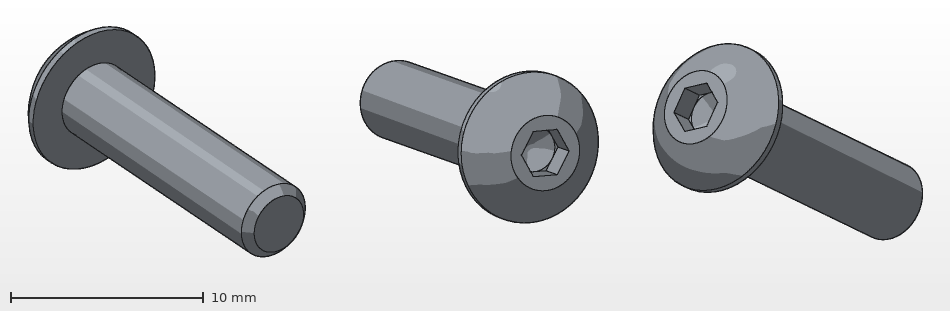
import cadquery as cq
import math

INCH = 25.4

head_diameter = 0.312 * INCH
head_height = 0.087 * INCH
head_face_diameter = head_diameter / 2
rim_thickness = 0.38

shank_diameter = 0.164 * INCH
shank_length = 0.625 * INCH
tip_chamfer = 0.475

hex_across_flats = 0.09375 * INCH
socket_depth = 0.052 * INCH
socket_cone_angle = 120.0


def dome_midpoint(face_edge, rim_edge):
    """Halfway point of the dome arc, on the sphere centred on the X axis through both edges."""
    face_x, face_radius = face_edge
    rim_x, rim_radius = rim_edge
    center_x = (rim_x**2 + rim_radius**2 - face_x**2 - face_radius**2) / (2 * (rim_x - face_x))
    sphere_radius = math.hypot(rim_x - center_x, rim_radius)
    face_angle = math.atan2(face_radius, face_x - center_x)
    rim_angle = math.atan2(rim_radius, rim_x - center_x)
    middle_angle = (face_angle + rim_angle) / 2
    middle_x = center_x + sphere_radius * math.cos(middle_angle)
    return (middle_x, sphere_radius * math.sin(middle_angle))


def make_body():
    """Head and shank, revolved from one half profile about the X axis."""
    face_edge = (-head_height, head_face_diameter / 2)
    rim_edge = (-rim_thickness, head_diameter / 2)
    shank_radius = shank_diameter / 2
    return (
        cq.Workplane("XY")
        .moveTo(-head_height, 0)
        .lineTo(*face_edge)
        .threePointArc(dome_midpoint(face_edge, rim_edge), rim_edge)
        .lineTo(0, head_diameter / 2)
        .lineTo(0, shank_radius)
        .lineTo(shank_length - tip_chamfer, shank_radius)
        .lineTo(shank_length, shank_radius - tip_chamfer)
        .lineTo(shank_length, 0)
        .close()
        .revolve(360, (0, 0), (1, 0))
    )


def make_hex_socket():
    """Hexagonal recess with two flats facing +Z and -Z, and a conical bottom."""
    hex_across_corners = hex_across_flats / math.cos(math.pi / 6)
    hexagon = (
        cq.Workplane("YZ", origin=(-head_height, 0, 0))
        .polygon(6, hex_across_corners)
        .extrude(socket_depth)
    )
    cone_radius = hex_across_flats / 2
    cone_depth = cone_radius / math.tan(math.radians(socket_cone_angle / 2))
    cone_base_x = socket_depth - head_height
    cone = (
        cq.Workplane("XY")
        .moveTo(cone_base_x, 0)
        .lineTo(cone_base_x, cone_radius)
        .lineTo(cone_base_x + cone_depth, 0)
        .close()
        .revolve(360, (0, 0), (1, 0))
    )
    return hexagon.union(cone)


result = make_body().cut(make_hex_socket())